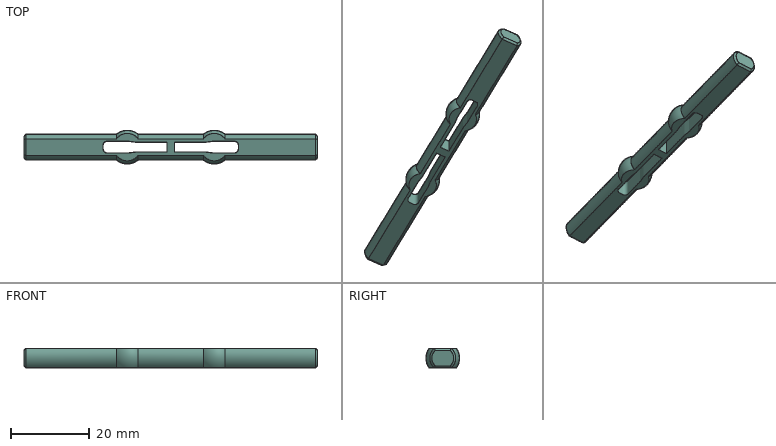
import cadquery as cq

length = 75.0
rod_diameter = 6.6
thickness = 5.0
end_chamfer = 0.5

ball_diameter = 8.6
ball_offset = 11.1

bridge_width = 2.0
window_end = 17.25
window_outer_width = 2.9
window_inner_width = 2.5
taper_start = 9.0
taper_end = 10.8
window_corner_radius = 1.0


def make_rod():
    """Flatted round bar with all end edges chamfered."""
    bar = cq.Workplane("YZ").circle(rod_diameter / 2).extrude(length / 2, both=True)
    flats = cq.Workplane("XY").box(length, rod_diameter, thickness)
    return bar.intersect(flats).faces("<X or >X").chamfer(end_chamfer)


def make_ball(x):
    """Ball on the rod axis, cut to the rod thickness."""
    ball = cq.Workplane("XY").sphere(ball_diameter / 2)
    flats = cq.Workplane("XY").box(ball_diameter, ball_diameter, thickness)
    return ball.intersect(flats).translate((x, 0, 0))


def make_window():
    """Window on the +X side: narrow by the bridge, tapering out to a wider rounded end."""
    half_inner = window_inner_width / 2
    half_outer = window_outer_width / 2
    outline = [
        (bridge_width / 2, -half_inner),
        (taper_start, -half_inner),
        (taper_end, -half_outer),
        (window_end, -half_outer),
        (window_end, half_outer),
        (taper_end, half_outer),
        (taper_start, half_inner),
        (bridge_width / 2, half_inner),
    ]
    window = cq.Workplane("XY").polyline(outline).close().extrude(thickness, both=True)
    return window.edges("|Z and >X").fillet(window_corner_radius)


body = make_rod()
for x in (-ball_offset, ball_offset):
    body = body.union(make_ball(x))

window = make_window()
result = body.cut(window).cut(window.mirror("YZ"))